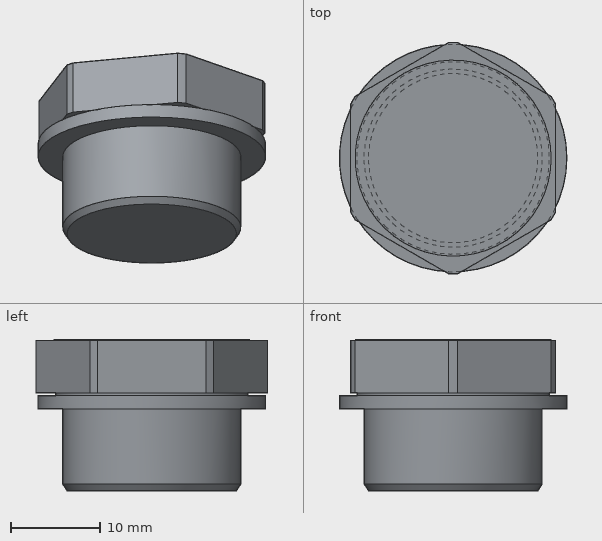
import cadquery as cq
import math

total_height = 17.0
shank_diameter = 20.0
shank_chamfer_height = 0.75
shank_chamfer_width = 0.5
flange_bottom_z = 9.2
flange_thickness = 1.5
flange_diameter = 25.55
neck_diameter = 21.6
head_bottom_z = 11.0
across_flats = 23.0
across_corners = 26.0
top_disc_diameter = 22.0
top_disc_height = 0.1

hexagon_sides = 6
half_side_angle = 180 / hexagon_sides
sharp_corner_diameter = across_flats / math.cos(math.radians(half_side_angle))
flange_top_z = flange_bottom_z + flange_thickness
head_top_z = total_height - top_disc_height


def disc(diameter, bottom_z, top_z):
    """Upright cylinder on the Z axis between two heights."""
    return cq.Workplane("XY", origin=(0, 0, bottom_z)).circle(diameter / 2).extrude(top_z - bottom_z)


def shank():
    """Plain shank with a steep chamfer around its lower end."""
    blank = disc(shank_diameter, 0, flange_bottom_z)
    return blank.faces("<Z").edges().chamfer(shank_chamfer_height, shank_chamfer_width)


def hex_head():
    """Hexagon with flats facing +X and -X, its corners turned down to a cylinder."""
    hexagon = (
        cq.Workplane("XY", origin=(0, 0, head_bottom_z))
        .transformed(rotate=(0, 0, half_side_angle))
        .polygon(hexagon_sides, sharp_corner_diameter)
        .extrude(head_top_z - head_bottom_z)
    )
    return hexagon.intersect(disc(across_corners, head_bottom_z, head_top_z))


flange = disc(flange_diameter, flange_bottom_z, flange_top_z)
neck = disc(neck_diameter, flange_top_z, head_bottom_z)
top_disc = disc(top_disc_diameter, head_top_z, total_height)

result = shank().union(flange).union(neck).union(hex_head()).union(top_disc)